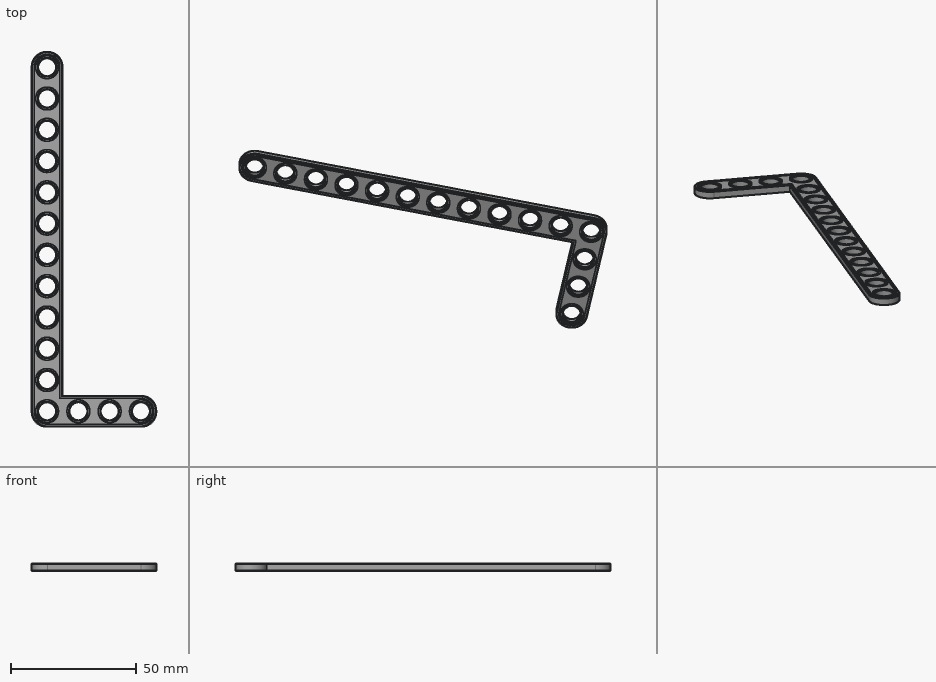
import cadquery as cq

length = 150.0
long_holes = 12
short_holes = 4
thickness = 3.2
hole_diameter = 7.0
hole_rim_diameter = 9.2
edge_rim_width = 1.11
panel_depth = 0.2
edge_chamfer = 0.3

pitch = length / long_holes
bar_width = pitch

hole_centres = [(0, row * pitch) for row in range(long_holes)]
hole_centres += [(column * pitch, 0) for column in range(1, short_holes)]


def arm(hole_count, width, height, angle):
    """Round-ended bar with its first hole at the origin, turned by angle from +X."""
    span = (hole_count - 1) * pitch
    bar = cq.Workplane("XY").center(span / 2, 0).slot2D(span + width, width).extrude(height)
    return bar.rotate((0, 0, 0), (0, 0, 1), angle)


def l_plate(width, height):
    """Long arm along +Y joined to the short arm along +X."""
    long_arm = arm(long_holes, width, height, 90)
    short_arm = arm(short_holes, width, height, 0)
    return long_arm.union(short_arm).clean()


def cylinders(diameter, height):
    """One upright cylinder on every hole centre."""
    return cq.Workplane("XY").pushPoints(hole_centres).circle(diameter / 2).extrude(height)


panel = l_plate(bar_width - 2 * edge_rim_width, panel_depth)
panel = panel.cut(cylinders(hole_rim_diameter, panel_depth))

body = l_plate(bar_width, thickness).cut(cylinders(hole_diameter, thickness))
body = body.faces("<Z or >Z").edges().chamfer(edge_chamfer)

top_panel = panel.translate((0, 0, thickness - panel_depth))
result = body.cut(top_panel).cut(panel)